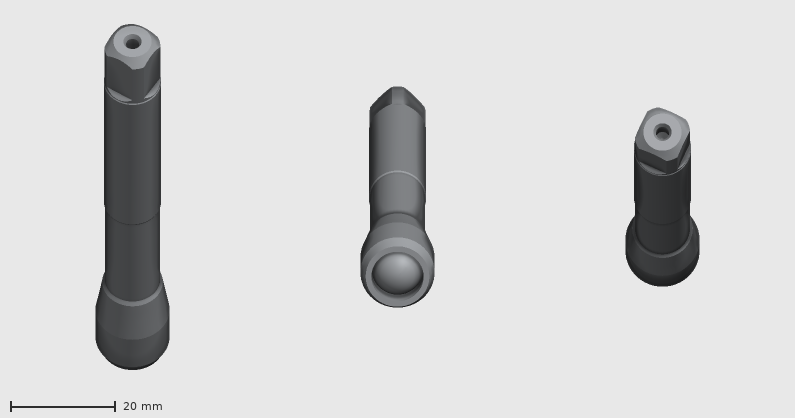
import cadquery as cq

length = 100.0
foot_diameter = 14.2

ball_diameter = 10.0
ball_protrusion = 0.2

foot_bottom_diameter = 12.2
foot_bottom = ball_protrusion
foot_chamfer_top = 2.6
foot_cone_bottom = 11.6
foot_cone_top = 20.8
foot_cone_top_diameter = 11.6
foot_top = 21.7

neck_diameter = 10.6
shaft_diameter = 11.0
neck_top = 46.9
neck_chamfer_height = 0.5
shaft_top = 87.0
shoulder_chamfer = 0.2

drive_corner_diameter = 10.7
across_flats = 9.0
flat_bottom = 88.1
drive_chamfer = 1.7

hole_diameter = 2.5
countersink_diameter = 3.5
countersink_depth = 0.9
hole_depth = 5.0
drill_tip_height = 0.7


def revolved(points):
    """Turn a closed (radius, height) outline about the Z axis."""
    return cq.Workplane("XZ").polyline(points).close().revolve(360, (0, 0, 0), (0, 1, 0))


def make_turned_spindle():
    """Foot, neck, shaft and chamfered round blank of the square drive."""
    foot_radius = foot_diameter / 2
    neck_radius = neck_diameter / 2
    shaft_radius = shaft_diameter / 2
    drive_radius = drive_corner_diameter / 2
    return revolved([
        (0, foot_bottom),
        (foot_bottom_diameter / 2, foot_bottom),
        (foot_radius, foot_chamfer_top),
        (foot_radius, foot_cone_bottom),
        (foot_cone_top_diameter / 2, foot_cone_top),
        (neck_radius, foot_top),
        (neck_radius, neck_top),
        (shaft_radius, neck_top + neck_chamfer_height),
        (shaft_radius, shaft_top - shoulder_chamfer),
        (drive_radius, shaft_top),
        (drive_radius, length - drive_chamfer),
        (drive_radius - drive_chamfer, length),
        (0, length),
    ])


def make_ball():
    """Ball whose lowest point is the lowest point of the part."""
    radius = ball_diameter / 2
    return cq.Workplane("XY").sphere(radius).translate((0, 0, radius))


def make_ball_pocket():
    """Round bore with a hemispherical end that the ball fits into from below."""
    radius = ball_diameter / 2
    return cq.Workplane("XY").circle(radius).extrude(radius).union(make_ball())


def make_flat_cutter():
    """Cutter for the flat on the -Y side, with a 45 degree runout at its lower end."""
    flat_y = -across_flats / 2
    runout = (shaft_diameter - across_flats) / 2
    return (
        cq.Workplane("YZ")
        .polyline([
            (flat_y, flat_bottom),
            (flat_y, length),
            (flat_y - runout, length),
            (flat_y - runout, flat_bottom - runout),
        ])
        .close()
        .extrude(shaft_diameter / 2, both=True)
    )


def make_center_hole():
    """Countersunk blind hole with a conical drill tip."""
    return revolved([
        (0, length),
        (countersink_diameter / 2, length),
        (hole_diameter / 2, length - countersink_depth),
        (hole_diameter / 2, length - hole_depth),
        (0, length - hole_depth - drill_tip_height),
    ])


def make_spindle():
    spindle = make_turned_spindle()
    flat_cutter = make_flat_cutter()
    flat_count = 4
    for index in range(flat_count):
        angle = index * 360 / flat_count
        spindle = spindle.cut(flat_cutter.rotate((0, 0, 0), (0, 0, 1), angle))
    return spindle.cut(make_center_hole()).cut(make_ball_pocket())


spindle = make_spindle()
ball = make_ball()

result = cq.Compound.makeCompound([spindle.val(), ball.val()])